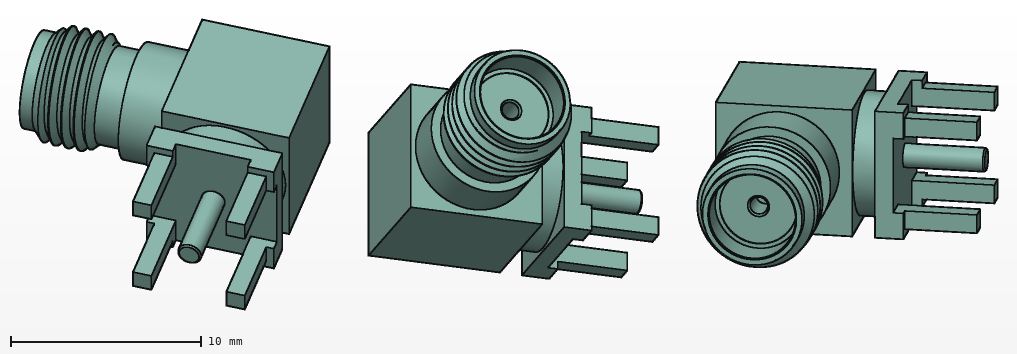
import cadquery as cq

length = 15.2
block_size = 7.0
block_depth = 7.3
half = block_size / 2
block_left = length - block_size
block_center_x = block_left + half

jack_axis_to_back = 3.44
jack_radius = 2.66
collar_radius = 3.18
collar_start = 5.6
thread_start = 0.7
thread_end = 4.12
thread_radius = 3.19
thread_pitch = 0.7
thread_root_radius = 2.8
crest_width = 0.03
thread_depth = thread_radius - jack_radius
first_crest_x = 0.88
thread_turns = 5

mouth_radius = 2.37
socket_radius = 2.31
mouth_chamfer = mouth_radius - socket_radius
socket_depth = 1.8
insulator_radius = 2.07
insulator_recess = 0.06
contact_hole_radius = 0.47
contact_hole_lead_in = 0.1
contact_hole_depth = 1.9

neck_radius = 3.31
plate_start = 8.51
plate_end = 9.48
foot_end = 10.03
foot_size = 1.45
leg_size = 1.02
leg_inset = 0.43
leg_end = 13.9
pin_radius = 0.64
pin_end = 13.85
pin_chamfer = 0.09


def jack_cylinder(radius, start, end):
    """Cylinder on the jack axis between two X positions."""
    plane = cq.Workplane("YZ", origin=(start, -jack_axis_to_back, 0))
    return plane.circle(radius).extrude(end - start)


def mount_cylinder(radius, start, end):
    """Cylinder running towards -Y between two distances from the back."""
    plane = cq.Workplane("XZ", origin=(block_center_x, -start, 0))
    return plane.circle(radius).extrude(end - start)


def mount_box(width, x, z, start, end):
    """Square bar centred at (x, z) running towards -Y."""
    plane = cq.Workplane("XZ", origin=(x, -start, z))
    return plane.rect(width, width).extrude(end - start)


def thread():
    """Threaded sleeve with 45 degree ends and a right-hand V groove."""
    sleeve = jack_cylinder(thread_radius, thread_start, thread_end)
    sleeve = sleeve.faces("<X or >X").chamfer(thread_depth)

    clearance = 0.02
    mouth_half = (thread_pitch - crest_width) / 2
    mouth_outer = thread_radius + clearance
    groove_start = first_crest_x - thread_pitch / 2
    groove_length = thread_pitch * thread_turns
    path = cq.Wire.makeHelix(thread_pitch, groove_length, thread_root_radius)
    groove = (
        cq.Workplane("XZ")
        .moveTo(thread_root_radius, 0)
        .lineTo(mouth_outer, mouth_half)
        .lineTo(mouth_outer, -mouth_half)
        .close()
        .sweep(cq.Workplane(path), isFrenet=True)
        .rotate((0, 0, 0), (0, 0, 1), 180)
        .rotate((0, 0, 0), (0, 1, 0), 90)
        .translate((groove_start, -jack_axis_to_back, 0))
    )
    blank = jack_cylinder(thread_radius, 0, collar_start)
    return blank.cut(groove).intersect(sleeve)


def jack():
    body = jack_cylinder(jack_radius, 0, collar_start)
    collar = jack_cylinder(collar_radius, collar_start, block_left)
    return body.union(collar).union(thread())


def socket():
    """Space inside the jack: bore, recessed insulator face and contact hole."""
    insulator_face = socket_depth + insulator_recess
    bore = jack_cylinder(socket_radius, 0, socket_depth)
    mouth = cq.Workplane("YZ", origin=(0, -jack_axis_to_back, 0)).circle(mouth_radius)
    mouth = mouth.workplane(offset=mouth_chamfer).circle(socket_radius).loft()
    recess = jack_cylinder(insulator_radius, socket_depth, insulator_face)
    hole = jack_cylinder(contact_hole_radius, insulator_face, insulator_face + contact_hole_depth)
    lead_in = cq.Workplane("YZ", origin=(insulator_face, -jack_axis_to_back, 0))
    lead_in = lead_in.circle(contact_hole_radius + contact_hole_lead_in)
    lead_in = lead_in.workplane(offset=contact_hole_lead_in).circle(contact_hole_radius).loft()
    return bore.union(mouth).union(recess).union(hole).union(lead_in)


def mount():
    plate = mount_box(block_size, block_center_x, 0, plate_start, plate_end)
    neck = mount_cylinder(neck_radius, block_depth, plate_start)
    pin = mount_cylinder(pin_radius, plate_end, pin_end).faces("<Y").chamfer(pin_chamfer)
    body = neck.union(plate).union(pin)
    foot_offset = half - foot_size / 2
    leg_offset = half - leg_inset - leg_size / 2
    for side_x in (-1, 1):
        for side_z in (-1, 1):
            foot_x = block_center_x + side_x * foot_offset
            leg_x = block_center_x + side_x * leg_offset
            body = body.union(mount_box(foot_size, foot_x, side_z * foot_offset, plate_end, foot_end))
            body = body.union(mount_box(leg_size, leg_x, side_z * leg_offset, foot_end, leg_end))
    return body


block = mount_box(block_size, block_center_x, 0, 0, block_depth)
result = block.union(jack()).union(mount()).cut(socket())